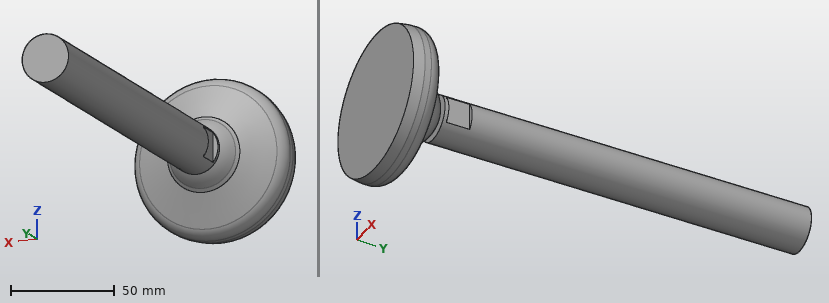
import cadquery as cq
import math

total_length = 231.5

rim_radius = 40.0
base_radius = 39.1
rim_bottom = 5.8
rim_top = 9.3
pad_height = 21.8
pad_top_radius = 18.8
shoulder_slope = math.radians(20)

neck_height = 23.2
dome_radius = 20.0
dome_center = 13.0

stem_radius = 12.0
stem_start = 31.5
flats_start = 33.5
flats_end = 46.3
flats_width = 19.0


def make_foot():
    """Revolve the pad, its rounded shoulder and the domed neck about Y."""
    corner_y = pad_height - (rim_radius - pad_top_radius) * math.tan(shoulder_slope)
    tangent_length = corner_y - rim_top
    arc_end_x = rim_radius - tangent_length * math.cos(shoulder_slope)
    arc_end_y = corner_y + tangent_length * math.sin(shoulder_slope)
    neck_radius = math.sqrt(dome_radius**2 - (neck_height - dome_center) ** 2)
    dome_mid = dome_radius * math.sin(math.pi / 6)
    dome_mid_y = dome_center + dome_radius * math.cos(math.pi / 6)
    profile = (
        cq.Workplane("XY")
        .lineTo(base_radius, 0)
        .lineTo(rim_radius, rim_bottom)
        .lineTo(rim_radius, rim_top)
        .tangentArcPoint((arc_end_x, arc_end_y), relative=False)
        .lineTo(pad_top_radius, pad_height)
        .lineTo(neck_radius, neck_height)
        .threePointArc((dome_mid, dome_mid_y), (0, dome_center + dome_radius))
        .close()
    )
    return profile.revolve(360, (0, 0), (0, 1))


def make_stem():
    """Round stem with a pair of parallel flats facing -X and +X."""
    stem_length = total_length - stem_start
    stem = (
        cq.Workplane("XZ", origin=(0, stem_start, 0))
        .circle(stem_radius)
        .extrude(-stem_length)
    )
    flats_length = flats_end - flats_start
    flats_middle = (flats_start + flats_end) / 2
    for side in (-1, 1):
        cutter = cq.Workplane("XY").box(stem_radius, flats_length, 2 * stem_radius)
        offset = side * (flats_width + stem_radius) / 2
        stem = stem.cut(cutter.translate((offset, flats_middle, 0)))
    return stem


result = make_foot().union(make_stem())